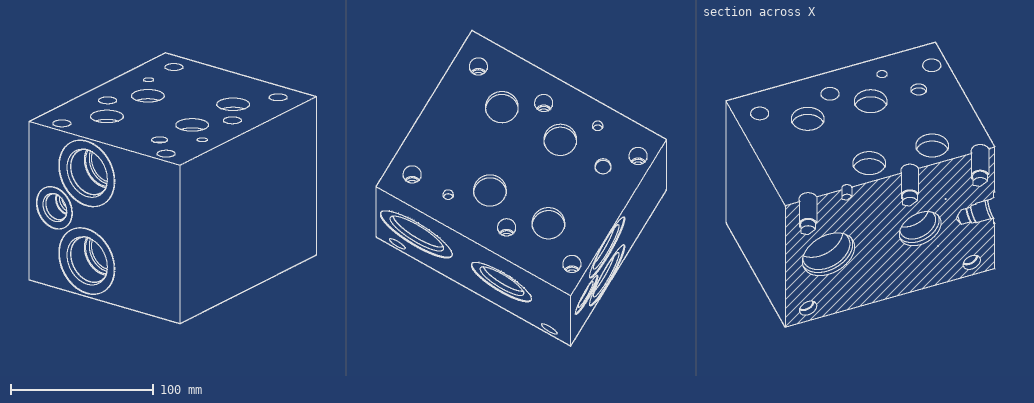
import cadquery as cq
import math

LENGTH_X = 133.4
LENGTH_Y = 158.8
HEIGHT = 120.6

POINT_ANGLE = 118
SPOTFACE_DEPTH = 0.8

PORT_MID_Z = HEIGHT / 2
AB_PORT_X = 50.8
AB_PORT_OFFSET_Z = 33.3
Y_PORT_X = 22.2
T_PORT_Y = 125.9
P_PORT_Y = 56.5
PILOT_DIAMETER = 16.7
PILOT_DEPTH = 54

MAIN_PORT = dict(
    spotface=49.0, mouth=35.5, seat=33.8, thread=33.3, tap_drill=31.3, bore=28.5,
    seat_depth=3.8, thread_depth=19.5, tap_depth=23.8, bore_depth=38.1,
)
PRESSURE_PORT = dict(MAIN_PORT, bore=27)
TANK_PORT = dict(
    spotface=58.5, mouth=43.5, seat=41.9, thread=41.3, tap_drill=39.2, bore=35.7,
    seat_depth=3.5, thread_depth=19, tap_depth=23.8, bore_depth=38.1,
)
DRAIN_PORT = dict(
    spotface=31.3, mouth=20.8, seat=19.4, thread=19, tap_drill=17.5, bore=14.3,
    seat_depth=3.0, thread_depth=14.3, tap_depth=17.5, bore_depth=25.4,
)

THREAD_DIAMETER = 12.7
THREAD_DRILL = 10.8
THREAD_DEPTH = 25.4
THREAD_DRILL_DEPTH = 31.8

BOLT_LEFT_X = 20.6
BOLT_RIGHT_X = 112.7
BOLT_NEAR_Y = 11.1
BOLT_FAR_Y = 141.3
BOLT_LEFT_MID_Y = 64.3
BOLT_RIGHT_MID_Y = 88.1

MOUNT_Y = (17.5, 141.3)
MOUNT_Z = 12.7

PASSAGE_DIAMETER = 23.0
PASSAGE_DEPTH = 7.0
PASSAGE_LEFT_X = 38.1
PASSAGE_RIGHT_X = 95.2
PASSAGE_FIRST_Y = 40.5
PASSAGE_PITCH = 23.8

DRAIN_DIAMETER = 11.1
DRAIN_DEPTH = 3.8
DRAIN_CENTRE = (93.7, 28.5)
PIN_DIAMETER = 7.1
PIN_DEPTH = 9.5
PIN_CENTRES = [(20.6, 111.9), (117.5, 46.8)]


def point_height(diameter):
    """Height of the drill point for a diameter."""
    return diameter / 2 / math.tan(math.radians(POINT_ANGLE / 2))


def drilled_tool(steps):
    """Stepped round cutter along +Z, ending in a drill point.

    Steps are (diameter, depth) pairs from the face inward.
    """
    profile = [(0, 0)] + [(diameter / 2, depth) for diameter, depth in steps]
    last_diameter, last_depth = steps[-1]
    profile.append((0, last_depth + point_height(last_diameter)))
    return cq.Workplane("XZ").polyline(profile).close().revolve(360, (0, 0), (0, 1))


def plain_hole(diameter, depth):
    return drilled_tool([(diameter, 0), (diameter, depth)])


def threaded_hole():
    return drilled_tool([
        (THREAD_DIAMETER, 0),
        (THREAD_DIAMETER, THREAD_DEPTH),
        (THREAD_DRILL, THREAD_DEPTH),
        (THREAD_DRILL, THREAD_DRILL_DEPTH),
    ])


def port_tool(port):
    tap_depth = port["tap_depth"]
    bore_start = tap_depth + point_height(port["tap_drill"]) - point_height(port["bore"])
    return drilled_tool([
        (port["spotface"], 0),
        (port["spotface"], SPOTFACE_DEPTH),
        (port["mouth"], SPOTFACE_DEPTH),
        (port["seat"], port["seat_depth"]),
        (port["thread"], port["seat_depth"]),
        (port["thread"], port["thread_depth"]),
        (port["tap_drill"], port["thread_depth"]),
        (port["tap_drill"], tap_depth),
        (port["bore"], bore_start),
        (port["bore"], port["bore_depth"]),
    ])


def in_front(tool, x, z):
    """Turn a cutter into the front face, pointing along +Y."""
    return tool.rotate((0, 0, 0), (1, 0, 0), -90).translate((x, 0, z))


def in_left(tool, y, z):
    """Turn a cutter into the left face, pointing along +X."""
    return tool.rotate((0, 0, 0), (0, 1, 0), 90).translate((0, y, z))


def in_top(tool, x, y):
    """Turn a cutter into the top face, pointing along -Z."""
    return tool.rotate((0, 0, 0), (1, 0, 0), 180).translate((x, y, HEIGHT))


result = cq.Workplane("XY").box(LENGTH_X, LENGTH_Y, HEIGHT, centered=False)

port_a_z = PORT_MID_Z - AB_PORT_OFFSET_Z
port_b_z = PORT_MID_Z + AB_PORT_OFFSET_Z
result = result.cut(in_front(port_tool(MAIN_PORT), AB_PORT_X, port_a_z))
result = result.cut(in_front(port_tool(MAIN_PORT), AB_PORT_X, port_b_z))
result = result.cut(in_front(port_tool(DRAIN_PORT), Y_PORT_X, PORT_MID_Z))
result = result.cut(in_front(plain_hole(PILOT_DIAMETER, PILOT_DEPTH), AB_PORT_X, port_a_z))

result = result.cut(in_left(port_tool(TANK_PORT), T_PORT_Y, PORT_MID_Z))
result = result.cut(in_left(port_tool(PRESSURE_PORT), P_PORT_Y, PORT_MID_Z))

for mount_y in MOUNT_Y:
    result = result.cut(in_left(threaded_hole(), mount_y, MOUNT_Z))

for bolt_x, bolt_mid_y in ((BOLT_LEFT_X, BOLT_LEFT_MID_Y), (BOLT_RIGHT_X, BOLT_RIGHT_MID_Y)):
    for bolt_y in (BOLT_NEAR_Y, bolt_mid_y, BOLT_FAR_Y):
        result = result.cut(in_top(threaded_hole(), bolt_x, bolt_y))

for index in range(4):
    passage_x = PASSAGE_LEFT_X if index % 2 == 0 else PASSAGE_RIGHT_X
    passage_y = PASSAGE_FIRST_Y + index * PASSAGE_PITCH
    result = result.cut(in_top(plain_hole(PASSAGE_DIAMETER, PASSAGE_DEPTH), passage_x, passage_y))

result = result.cut(in_top(plain_hole(DRAIN_DIAMETER, DRAIN_DEPTH), *DRAIN_CENTRE))
for pin_x, pin_y in PIN_CENTRES:
    result = result.cut(in_top(plain_hole(PIN_DIAMETER, PIN_DEPTH), pin_x, pin_y))